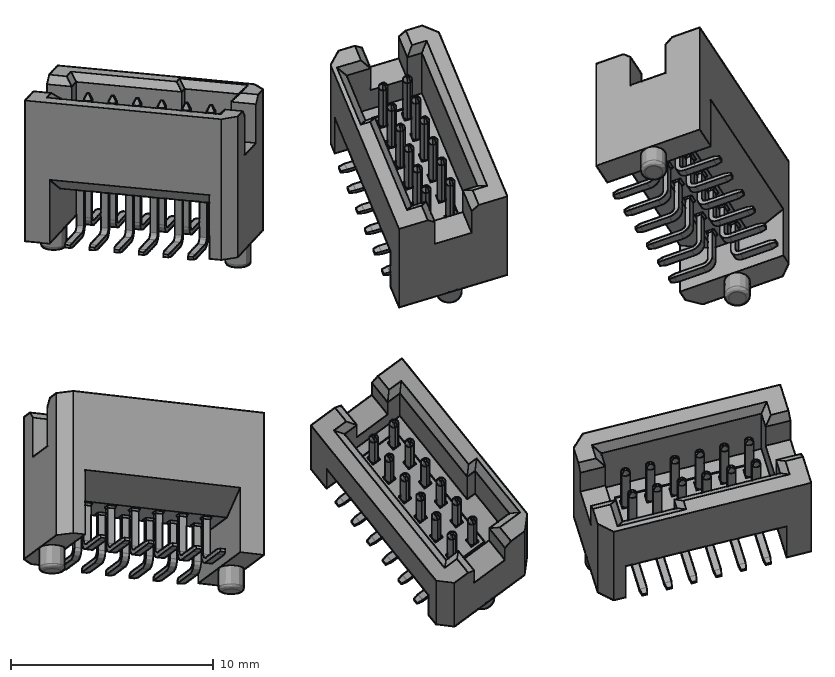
import cadquery as cq
import math

length = 10.8
width = 5.69
height = 7.35
corner_chamfer = 0.65

post_diameter = 1.27
post_length = 1.16
post_edge_radius = 0.2

leadin = 0.38
end_wall = 1.29
cavity_half_width = 1.73
cavity_depth = 4.16
key_start_x = 1.34
key_half_width = 2.22
notch_width = 1.92
notch_depth = 2.41

recess_length = 7.19
recess_width = 2.16
recess_depth = 0.11

opening_height = 2.3
opening_edge_height = 3.34
opening_flat_width = 2.1

column_span = 6.35
columns = 6
pin_diameter = 0.45
pin_flat_width = 0.42
shank_side = pin_diameter
shank_rise = 0.04
pin_top = 6.81
tip_height = 0.31
tip_taper = 26.0
lead_width = 0.38
lead_thickness = 0.25
lead_bottom = -0.15
neck_height = 0.11
bend_radius = 0.28
foot_straight_end_y = 2.61
foot_span = 5.84
foot_tip_width = 0.27
foot_tip_thickness = 0.15

pitch = column_span / (columns - 1)
row_y = pitch / 2
foot_tip_y = foot_span / 2
cavity_half_length = length / 2 - end_wall


def cavity_outline(offset):
    """Keyed cavity outline, grown outwards by the offset."""
    x_end = cavity_half_length + offset
    y_front = -cavity_half_width - offset
    y_back = cavity_half_width + offset
    y_key = key_half_width + offset
    x_key = key_start_x - offset
    return [
        (-x_end, y_front),
        (x_end, y_front),
        (x_end, y_key),
        (x_key, y_key),
        (x_key, y_back),
        (-x_end, y_back),
    ]


def make_cavity():
    """Keyed cavity with a flared rim and a shallow recess in its floor."""
    floor = height - cavity_depth
    straight = (
        cq.Workplane("XY", origin=(0, 0, floor))
        .polyline(cavity_outline(0))
        .close()
        .extrude(cavity_depth)
    )
    flare = (
        cq.Workplane("XY", origin=(0, 0, height - leadin))
        .polyline(cavity_outline(0))
        .close()
        .workplane(offset=leadin)
        .polyline(cavity_outline(leadin))
        .close()
        .loft(ruled=True)
    )
    recess = (
        cq.Workplane("XY", origin=(0, 0, floor - recess_depth))
        .rect(recess_length, recess_width)
        .extrude(recess_depth)
    )
    return straight.union(flare).union(recess)


def make_end_notches():
    """Slot with a flared mouth, running along X through both end walls."""
    half = notch_width / 2
    return (
        cq.Workplane("YZ")
        .polyline([
            (-half, height - notch_depth),
            (half, height - notch_depth),
            (half, height - leadin),
            (half + leadin, height),
            (-half - leadin, height),
            (-half, height - leadin),
        ])
        .close()
        .extrude(length / 2, both=True)
    )


def make_lower_opening():
    """Opening between the end legs; its ceiling slopes up towards both long sides."""
    flat = opening_flat_width / 2
    side = width / 2
    return (
        cq.Workplane("YZ")
        .polyline([
            (-side, 0),
            (side, 0),
            (side, opening_edge_height),
            (flat, opening_height),
            (-flat, opening_height),
            (-side, opening_edge_height),
        ])
        .close()
        .extrude(length / 2 - post_diameter, both=True)
    )


def make_housing():
    """Chamfered block with the cavity, end notches and lower opening removed."""
    body = (
        cq.Workplane("XY")
        .rect(length, width)
        .extrude(height)
        .edges("|Z and >X")
        .chamfer(corner_chamfer)
    )
    return body.cut(make_cavity()).cut(make_end_notches()).cut(make_lower_opening())


def make_posts():
    """Round-edged locating post under each end leg."""
    post_x = (length - post_diameter) / 2
    return (
        cq.Workplane("XY")
        .pushPoints([(-post_x, 0), (post_x, 0)])
        .circle(post_diameter / 2)
        .extrude(-post_length)
        .faces("<Z")
        .edges()
        .fillet(post_edge_radius)
    )


def pin_profile(z):
    """Round pin section with a flat on each X side."""
    flat_x = pin_flat_width / 2
    radius = pin_diameter / 2
    flat_y = math.sqrt(radius**2 - flat_x**2)
    return (
        cq.Workplane("XY", origin=(0, row_y, z))
        .moveTo(flat_x, -flat_y)
        .lineTo(flat_x, flat_y)
        .threePointArc((0, radius), (-flat_x, flat_y))
        .lineTo(-flat_x, -flat_y)
        .threePointArc((0, -radius), (flat_x, -flat_y))
        .close()
    )


def make_contact():
    """Contact of the +Y row: square shank, pointed pin, vertical lead, bend and foot towards +Y."""
    shoulder = pin_top - tip_height
    shank_height = height - cavity_depth - recess_depth + shank_rise - opening_height
    shank = (
        cq.Workplane("XY", origin=(0, row_y, opening_height))
        .rect(shank_side, shank_side)
        .extrude(shank_height)
    )
    pin = pin_profile(opening_height).extrude(shoulder - opening_height)
    tip = pin_profile(shoulder).extrude(tip_height, taper=tip_taper)

    lead_top = lead_bottom + lead_thickness
    bend_z = lead_top + bend_radius
    outer_radius = bend_radius + lead_thickness
    y_outer = row_y + lead_thickness / 2
    y_inner = row_y - lead_thickness / 2
    bend_end_y = y_outer + bend_radius
    diagonal = math.sqrt(0.5)
    neck_bottom = opening_height - neck_height
    lead = (
        cq.Workplane("YZ")
        .moveTo(y_outer, neck_bottom)
        .lineTo(y_outer, bend_z)
        .threePointArc(
            (bend_end_y - bend_radius * diagonal, bend_z - bend_radius * diagonal),
            (bend_end_y, lead_top),
        )
        .lineTo(foot_straight_end_y, lead_top)
        .lineTo(foot_straight_end_y, lead_bottom)
        .lineTo(bend_end_y, lead_bottom)
        .threePointArc(
            (bend_end_y - outer_radius * diagonal, bend_z - outer_radius * diagonal),
            (y_inner, bend_z),
        )
        .lineTo(y_inner, neck_bottom)
        .close()
        .extrude(lead_width / 2, both=True)
    )
    neck = (
        cq.Workplane("XY", origin=(0, row_y, neck_bottom))
        .rect(lead_width, lead_thickness)
        .workplane(offset=neck_height)
        .rect(shank_side, shank_side)
        .loft(ruled=True)
    )
    foot_z = (lead_top + lead_bottom) / 2
    foot_tip = (
        cq.Workplane("XZ", origin=(0, foot_straight_end_y, foot_z))
        .rect(lead_width, lead_thickness)
        .workplane(offset=foot_straight_end_y - foot_tip_y)
        .rect(foot_tip_width, foot_tip_thickness)
        .loft(ruled=True)
    )
    return shank.union(pin).union(tip).union(neck).union(lead).union(foot_tip)


result = make_housing().union(make_posts())
back_contact = make_contact()
front_contact = back_contact.mirror("XZ")
for column in range(columns):
    x = column * pitch - column_span / 2
    for contact in (back_contact, front_contact):
        result = result.union(contact.translate((x, 0, 0)))